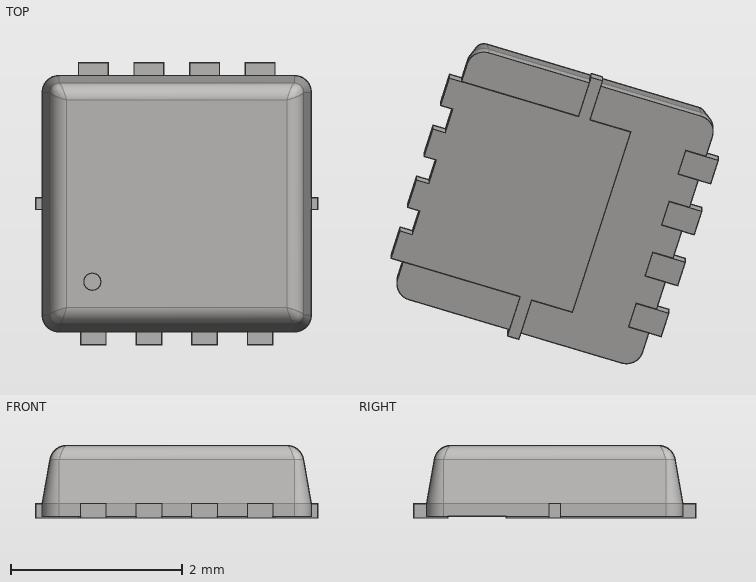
import cadquery as cq
import math

BODY_LENGTH = 3.15
BODY_WIDTH = 3.0
BODY_BOTTOM = 0.02
BODY_TOP = 0.85
CORNER_RADIUS = 0.2
DRAFT_ANGLE = 10
TOP_FILLET = 0.2

FRAME_THICKNESS = 0.17
OUTER_SPAN = 3.3
LEAD_PITCH = 0.65
LEADS_PER_SIDE = 4
FRONT_LEAD_WIDTH = 0.3
FRONT_LEAD_LENGTH = 0.4
BACK_LEAD_WIDTH = 0.35
PAD_FRONT_Y = -0.57
TIE_BAR_WIDTH = 0.14

DIMPLE_RADIUS = 0.1
DIMPLE_DEPTH = 0.02
DIMPLE_INSET = 0.3

BACK_Y = OUTER_SPAN / 2
FRONT_Y = -OUTER_SPAN / 2
PAD_LENGTH = (LEADS_PER_SIDE - 1) * LEAD_PITCH + BACK_LEAD_WIDTH
LEAD_CENTRES = [(i - (LEADS_PER_SIDE - 1) / 2) * LEAD_PITCH for i in range(LEADS_PER_SIDE)]


def frame_block(x_centre, x_size, y_min, y_max):
    """Rectangular piece of the lead frame, resting on the seating plane."""
    block = cq.Workplane("XY").box(x_size, y_max - y_min, FRAME_THICKNESS, centered=(True, False, False))
    return block.translate((x_centre, y_min, 0))


def rounded_outline(z):
    """Body outline at the parting line, as a sketch at height z."""
    sketch = cq.Sketch().rect(BODY_LENGTH, BODY_WIDTH).vertices().fillet(CORNER_RADIUS)
    return cq.Workplane("XY", origin=(0, 0, z)).placeSketch(sketch)


def make_body():
    """Straight-sided base below a drafted upper part with a rounded top rim."""
    base = rounded_outline(BODY_BOTTOM).extrude(FRAME_THICKNESS - BODY_BOTTOM)
    upper = rounded_outline(FRAME_THICKNESS).extrude(BODY_TOP - FRAME_THICKNESS, taper=DRAFT_ANGLE)
    upper = upper.faces(">Z").edges().fillet(TOP_FILLET)
    return base.union(upper)


def make_lead_frame():
    """Thermal pad with its back leads and side tie bars, plus the separate front leads."""
    frame = frame_block(0, PAD_LENGTH, PAD_FRONT_Y, BODY_WIDTH / 2)
    frame = frame.union(frame_block(0, OUTER_SPAN, -TIE_BAR_WIDTH / 2, TIE_BAR_WIDTH / 2))
    for x in LEAD_CENTRES:
        frame = frame.union(frame_block(x, BACK_LEAD_WIDTH, 0, BACK_Y))
        frame = frame.union(frame_block(x, FRONT_LEAD_WIDTH, FRONT_Y, FRONT_Y + FRONT_LEAD_LENGTH))
    return frame


def make_dimple():
    """Shallow round recess near the front left corner of the top face."""
    draft = math.radians(DRAFT_ANGLE)
    draft_inset = (BODY_TOP - FRAME_THICKNESS) * math.tan(draft)
    fillet_inset = TOP_FILLET * math.tan((math.pi / 2 - draft) / 2)
    centre_inset = draft_inset + fillet_inset + DIMPLE_INSET
    x = -BODY_LENGTH / 2 + centre_inset
    y = -BODY_WIDTH / 2 + centre_inset
    floor = cq.Workplane("XY", origin=(x, y, BODY_TOP - DIMPLE_DEPTH))
    return floor.circle(DIMPLE_RADIUS).extrude(DIMPLE_DEPTH)


result = make_body().union(make_lead_frame()).cut(make_dimple())